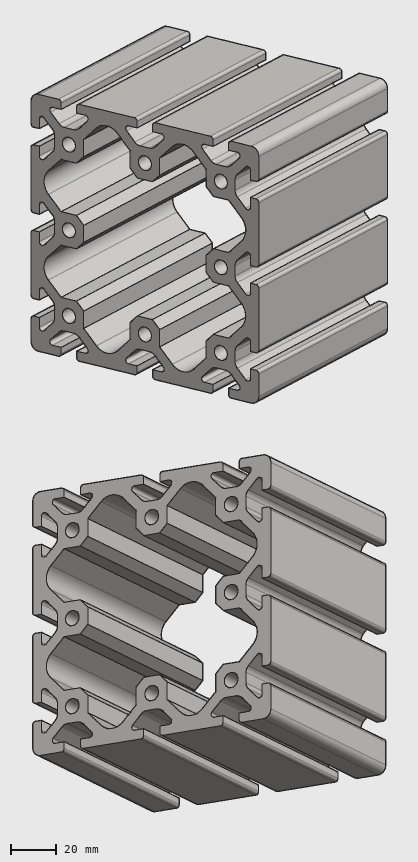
import cadquery as cq
import math

side = 120.0
length = 100.0
slot_count = 3
pitch = side / slot_count
corner_radius = 4.0

slot_opening = 8.2
lip_thickness = 4.5
lip_radius = 1.5
slot_depth = 12.5
floor_width = 8.2
floor_radius = 4.0
undercut_radius = 1.5

hole_diameter = 6.8
boss_half_width = 7.8
boss_chamfer = 3.8

web_thickness = 5.0
recess_radius = 7.8

half_side = side / 2
half_pitch = pitch / 2
slot_centers = [(i - (slot_count - 1) / 2) * pitch for i in range(slot_count)]
slot_flank_sum = floor_width / 2 + slot_depth
web_flank_sum = slot_flank_sum + web_thickness * math.sqrt(2)


def prism(profile):
    """Extrude a closed XZ profile over the full length, centred on Y = 0."""
    return profile.extrude(length / 2, both=True)


def turned(point, quarter):
    """Rotate a profile point about the centre by a number of quarter turns."""
    x, z = point
    for _ in range(quarter):
        x, z = -z, x
    return x, z


def make_slot():
    """T-slot in the top face, centred on X = 0."""
    lip_z = half_side - lip_thickness
    floor_z = half_side - slot_depth
    tip_half = slot_flank_sum - lip_thickness

    undercut = prism(
        cq.Workplane("XZ").polyline([
            (-tip_half, lip_z),
            (tip_half, lip_z),
            (floor_width / 2, floor_z),
            (-floor_width / 2, floor_z),
        ]).close()
    )
    undercut = undercut.edges("|Y and >Z").fillet(undercut_radius)
    undercut = undercut.edges("|Y and <Z").fillet(floor_radius)

    half_open = slot_opening / 2
    mid = lip_radius * (1 - math.sqrt(0.5))
    shoulder_z = half_side - lip_radius
    mouth = prism(
        cq.Workplane("XZ")
        .moveTo(-half_open, floor_z + floor_radius)
        .lineTo(-half_open, shoulder_z)
        .threePointArc((-half_open - mid, half_side - mid), (-half_open - lip_radius, half_side))
        .lineTo(half_open + lip_radius, half_side)
        .threePointArc((half_open + mid, half_side - mid), (half_open, shoulder_z))
        .lineTo(half_open, floor_z + floor_radius)
        .close()
    )
    return undercut.union(mouth)


def cut_slots(body):
    slot = make_slot()
    for quarter in range(4):
        for center in slot_centers:
            placed = slot.translate((center, 0, 0))
            body = body.cut(placed.rotate((0, 0, 0), (0, 1, 0), 90 * quarter))
    return body


def make_cavity():
    """Central opening bounded by the bosses, webs and rounded recesses."""
    boss_z = half_side - half_pitch
    boss_face_z = boss_z - boss_half_width
    flat_half = boss_half_width - boss_chamfer
    chamfer_z = boss_z - flat_half
    web_z = half_side - web_flank_sum + boss_half_width

    arc_half = recess_radius * math.sqrt(0.5)
    arc_end_z = half_side - web_flank_sum + half_pitch - arc_half
    crown_z = arc_end_z + recess_radius - arc_half
    boss_side = half_pitch - boss_half_width

    def add_recess(profile, center, quarter):
        """Run from the boss right of a recess, over its crown, to the boss on its left."""

        def place(offset, z):
            return turned((center + offset, z), quarter)

        return (
            profile.lineTo(*place(boss_side, chamfer_z))
            .lineTo(*place(boss_side, web_z))
            .lineTo(*place(arc_half, arc_end_z))
            .threePointArc(place(0, crown_z), place(-arc_half, arc_end_z))
            .lineTo(*place(-boss_side, web_z))
            .lineTo(*place(-boss_side, chamfer_z))
        )

    last_corner = turned((-half_pitch - boss_side, chamfer_z), 3)
    profile = cq.Workplane("XZ").moveTo(*last_corner)
    for quarter in range(4):
        profile = add_recess(profile, half_pitch, quarter)
        profile = profile.lineTo(*turned((flat_half, boss_face_z), quarter))
        profile = profile.lineTo(*turned((-flat_half, boss_face_z), quarter))
        profile = add_recess(profile, -half_pitch, quarter)
    return prism(profile.close())


def cut_holes(body):
    """Bore every grid position except the open middle one."""
    centers = [(x, z) for x in slot_centers for z in slot_centers if (x, z) != (0, 0)]
    holes = cq.Workplane("XZ").pushPoints(centers).circle(hole_diameter / 2)
    return body.cut(prism(holes))


result = cq.Workplane("XY").box(side, length, side).edges("|Y").fillet(corner_radius)
result = cut_slots(result)
result = result.cut(make_cavity())
result = cut_holes(result)